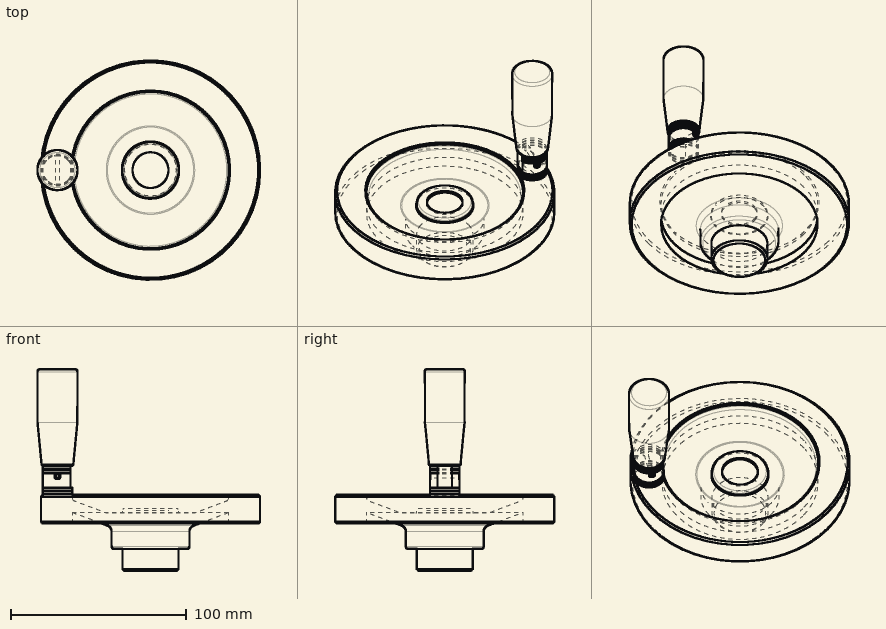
import cadquery as cq
import math

wheel_radius = 62.5
rim_height = 16.5
rim_bottom = 27.0
rim_top = rim_bottom + rim_height
rim_chamfer = 1.2

dish_depth = 10.5
dish_floor = rim_top - dish_depth
dish_wall_radius = 44.55
dish_lip_chamfer = 0.8
dish_wall_fillet = 1.75
dish_floor_radius = 24.9
dish_floor_fillet = 2.0
web_angle = math.radians(20.5)

hub_radius = 22.25
hub_bottom = 12.6
hub_edge_fillet = 1.5
hub_web_fillet = 3.6
hub_fillet_start = 22.5

shaft_radius = 16.0
shaft_chamfer = 1.3
boss_height = 2.6
boss_top = dish_floor + boss_height
boss_fillet = 1.0
recess_radius = 10.2
recess_depth = 1.2
boss_foot_width = 0.35
boss_foot_height = 0.4

handle_x = -53.0
handle_top = 115.0
grip_radius = 11.5
grip_top_fillet = 1.5
grip_shoulder_radius = 11.4
grip_shoulder = 84.5
grip_end_radius = 9.1
grip_bottom = 59.9
grip_end_chamfer = 0.8
sleeve_radius = 8.5
flat_offset = 7.5
flat_bottom = 47.5
groove_width = 0.4
groove_depth = 0.2
groove_pitch = 1.9
grooves_per_band = 3
lower_band_start = rim_top
upper_band_start = grip_bottom - groove_width - (grooves_per_band - 1) * groove_pitch
pin_level = 54.1
pin_seat_radius = 1.75
pin_seat_depth = 0.5
pin_bore_radius = 1.1


def cylinder(radius, bottom, top):
    return cq.Workplane("XY").workplane(offset=bottom).circle(radius).extrude(top - bottom)


def cone(bottom_radius, top_radius, bottom, top):
    frustum = cq.Solid.makeCone(bottom_radius, top_radius, top - bottom, pnt=cq.Vector(0, 0, bottom))
    return cq.Workplane(frustum)


def ring(outer_radius, inner_radius, bottom, top):
    blank = cq.Workplane("XY").workplane(offset=bottom)
    return blank.circle(outer_radius).circle(inner_radius).extrude(top - bottom)


def revolve_about_z(profile):
    return profile.revolve(360, (0, 0), (0, 1))


def make_dish():
    """Solid removed from the top: chamfered lip, upright wall, cone and flat floor."""
    cone_rise = (dish_wall_radius - dish_floor_radius) * math.tan(web_angle)
    profile = (
        cq.Workplane("XZ")
        .moveTo(0, dish_floor)
        .lineTo(dish_floor_radius, dish_floor)
        .lineTo(dish_wall_radius, dish_floor + cone_rise)
        .lineTo(dish_wall_radius, rim_top)
        .lineTo(0, rim_top)
        .close()
    )
    dish = revolve_about_z(profile)
    wall_foot = dish.faces("%CYLINDER").edges("<Z")
    dish = wall_foot.fillet(dish_wall_fillet)
    dish = dish.faces("<Z").edges().fillet(dish_floor_fillet)
    lip_bottom = rim_top - dish_lip_chamfer
    return dish.union(cone(dish_wall_radius, dish_wall_radius + dish_lip_chamfer, lip_bottom, rim_top))


def make_underside():
    """Annular hollow below the conical web, blended into the hub by an arc."""
    centre_radius = hub_radius + hub_web_fillet
    blend_radius = centre_radius - hub_web_fillet * math.sin(web_angle)
    blend_level = hub_fillet_start + hub_web_fillet * math.cos(web_angle)
    mid_angle = (math.pi / 2 - web_angle) / 2
    mid_radius = centre_radius - hub_web_fillet * math.cos(mid_angle)
    mid_level = hub_fillet_start + hub_web_fillet * math.sin(mid_angle)
    outer_level = blend_level + (dish_wall_radius - blend_radius) * math.tan(web_angle)
    profile = (
        cq.Workplane("XZ")
        .moveTo(hub_radius, hub_bottom)
        .lineTo(hub_radius, hub_fillet_start)
        .threePointArc((mid_radius, mid_level), (blend_radius, blend_level))
        .lineTo(dish_wall_radius, outer_level)
        .lineTo(dish_wall_radius, hub_bottom)
        .close()
    )
    return revolve_about_z(profile)


def make_wheel():
    rim = cylinder(wheel_radius, rim_bottom, rim_top).edges().chamfer(rim_chamfer)
    hub_blank = cylinder(dish_wall_radius, hub_bottom, rim_bottom)
    wheel = rim.union(hub_blank).cut(make_underside()).cut(make_dish())
    return wheel.faces("<Z").edges().fillet(hub_edge_fillet)


def make_shaft():
    shaft = cylinder(shaft_radius, 0, boss_top)
    shaft = shaft.faces("<Z").edges().chamfer(shaft_chamfer)
    shaft = shaft.faces(">Z").edges().fillet(boss_fillet)
    foot_top = dish_floor + boss_foot_height
    shaft = shaft.union(cone(shaft_radius + boss_foot_width, shaft_radius, dish_floor, foot_top))
    return shaft.cut(cylinder(recess_radius, boss_top - recess_depth, boss_top))


def make_grip():
    profile = (
        cq.Workplane("XZ")
        .moveTo(0, grip_bottom)
        .lineTo(grip_end_radius - grip_end_chamfer, grip_bottom)
        .lineTo(grip_end_radius, grip_bottom + grip_end_chamfer)
        .lineTo(grip_shoulder_radius, grip_shoulder)
        .lineTo(grip_radius, handle_top)
        .lineTo(0, handle_top)
        .close()
    )
    return revolve_about_z(profile).faces(">Z").edges().fillet(grip_top_fillet)


def make_sleeve():
    sleeve = cylinder(sleeve_radius, rim_top, grip_bottom)
    flat_height = grip_bottom - flat_bottom
    flat = (
        cq.Workplane("XY")
        .box(sleeve_radius, 2 * sleeve_radius, flat_height, centered=(False, True, False))
        .translate((flat_offset, 0, flat_bottom))
    )
    sleeve = sleeve.cut(flat)
    groove_floor_radius = sleeve_radius - groove_depth
    for band_start in (lower_band_start, upper_band_start):
        for index in range(grooves_per_band):
            level = band_start + index * groove_pitch
            sleeve = sleeve.cut(ring(sleeve_radius, groove_floor_radius, level, level + groove_width))
    return sleeve


def make_pin_hole():
    """Through bore along Y with a shallow wider seat at each end."""
    axis = cq.Workplane("XZ").center(0, pin_level)
    hole = axis.circle(pin_bore_radius).extrude(sleeve_radius, both=True)
    seat_plane = axis.workplane(offset=sleeve_radius - pin_seat_depth)
    seat = seat_plane.circle(pin_seat_radius).extrude(pin_seat_depth)
    return hole.union(seat).union(seat.mirror("XZ"))


def make_handle():
    handle = make_grip().union(make_sleeve()).cut(make_pin_hole())
    return handle.translate((handle_x, 0, 0))


result = make_wheel().union(make_shaft()).union(make_handle())